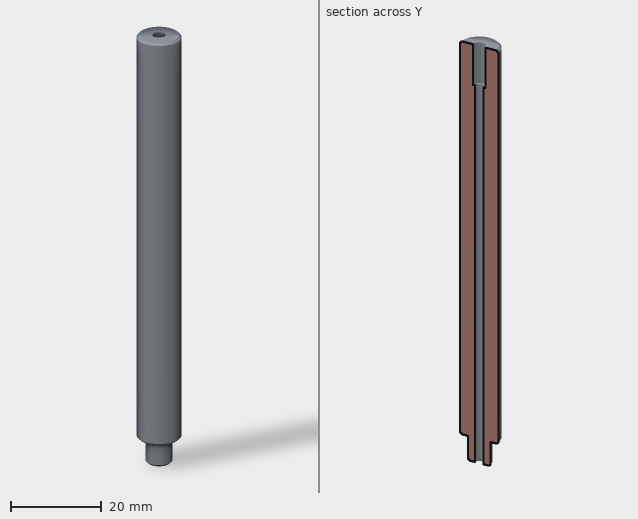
import cadquery as cq

total_length = 103.0
body_diameter = 10.0
pin_diameter = 6.0
pin_length = 6.0
edge_chamfer = 0.5
bore_diameter = 2.2
counterbore_diameter = 3.0
counterbore_depth = 10.0

body_length = total_length - pin_length

body = (
    cq.Workplane("XY")
    .workplane(offset=pin_length)
    .circle(body_diameter / 2)
    .extrude(body_length)
    .faces("<Z or >Z")
    .chamfer(edge_chamfer)
)

pin = (
    cq.Workplane("XY")
    .circle(pin_diameter / 2)
    .extrude(pin_length)
    .faces("<Z")
    .chamfer(edge_chamfer)
)

result = (
    body.union(pin)
    .faces(">Z")
    .workplane()
    .cboreHole(bore_diameter, counterbore_diameter, counterbore_depth)
)